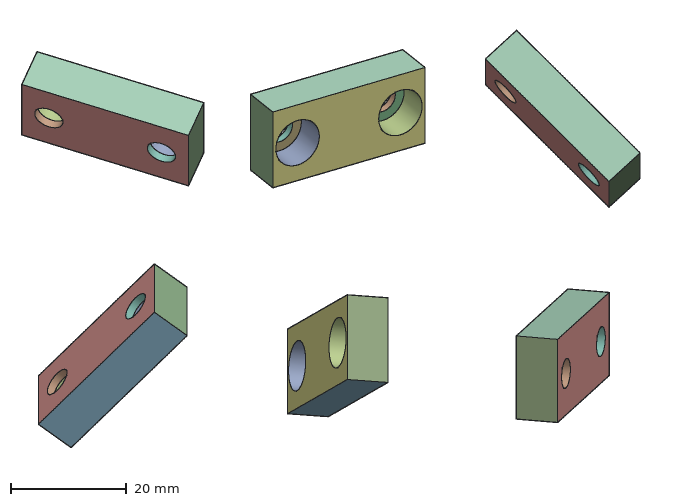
import cadquery as cq

length = 30.85
thickness = 7.5
height = 15.0

hole_spacing = 20.83
hole_diameter = 5.2
counterbore_diameter = 8.8
web_thickness = 1.5
counterbore_depth = thickness - web_thickness

block = cq.Workplane("XY").box(length, thickness, height)

result = (
    block.faces(">Y")
    .workplane(centerOption="CenterOfBoundBox")
    .rarray(hole_spacing, 0.3, 2, 1)
    .cboreHole(hole_diameter, counterbore_diameter, counterbore_depth)
)